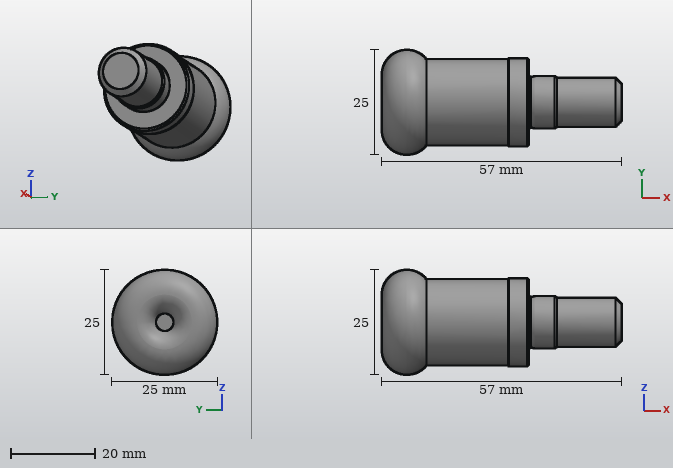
import cadquery as cq
import math


ring_section_radius = 6.0
ring_outer_diameter = 25.0
throat_radial_semi_axis = 4.7

body_start = 4.0
body_diameter = 20.6
flange_start = 30.0
flange_diameter = 21.0
flange_thickness = 5.0
flange_chamfer = 0.5
seat_diameter = 12.5
seat_length = 6.0
shank_diameter = 11.75
overall_length = 57.0
shank_end_chamfer = 1.5
lead_in_angle = 30.0
undercut_depth = 0.25
undercut_corner_radius = 0.4
undercut_exit_angle = 15.0

body_radius = body_diameter / 2
flange_end = flange_start + flange_thickness
seat_end = flange_end + seat_length


def revolve_about_x(profile):
    """Turn a closed XY half profile once around the X axis."""
    return profile.close().revolve(360, (0, 0, 0), (1, 0, 0))


def make_ring():
    """Grip ring that caps the front of the pin body and leaves its end face bare in the throat."""
    centre_x = ring_section_radius
    centre_radius = ring_outer_diameter / 2 - ring_section_radius

    throat_angle = math.acos((body_start - centre_x) / ring_section_radius)
    throat_end_radius = centre_radius - throat_radial_semi_axis * math.sin(throat_angle)

    rise_to_body = body_radius - centre_radius
    ring_end = centre_x + math.sqrt(ring_section_radius**2 - rise_to_body**2)

    profile = (
        cq.Workplane("XY")
        .moveTo(body_start, throat_end_radius)
        .ellipseArc(
            ring_section_radius,
            throat_radial_semi_axis,
            180,
            360 - math.degrees(throat_angle),
            sense=-1,
        )
        .radiusArc((centre_x, ring_outer_diameter / 2), ring_section_radius)
        .radiusArc((ring_end, body_radius), ring_section_radius)
        .lineTo(body_start, body_radius)
    )
    return revolve_about_x(profile)


def make_pin():
    """Body, flange, undercut, seat and chamfered shank in one turned piece."""
    flange_radius = flange_diameter / 2
    flange_step = flange_radius - body_radius
    seat_radius = seat_diameter / 2
    shank_radius = shank_diameter / 2

    undercut_radius = seat_radius - undercut_depth
    undercut_bottom = flange_end + undercut_corner_radius
    corner_top = undercut_radius + undercut_corner_radius
    undercut_end = undercut_bottom + undercut_depth / math.tan(math.radians(undercut_exit_angle))

    lead_in_length = (seat_radius - shank_radius) / math.tan(math.radians(lead_in_angle))

    profile = (
        cq.Workplane("XY")
        .moveTo(body_start, 0)
        .lineTo(body_start, body_radius)
        .lineTo(flange_start, body_radius)
        .lineTo(flange_start + flange_step, flange_radius)
        .lineTo(flange_end - flange_chamfer, flange_radius)
        .lineTo(flange_end, flange_radius - flange_chamfer)
        .lineTo(flange_end, corner_top)
        .radiusArc((undercut_bottom, undercut_radius), -undercut_corner_radius)
        .lineTo(undercut_end, seat_radius)
        .lineTo(seat_end, seat_radius)
        .lineTo(seat_end + lead_in_length, shank_radius)
        .lineTo(overall_length - shank_end_chamfer, shank_radius)
        .lineTo(overall_length, shank_radius - shank_end_chamfer)
        .lineTo(overall_length, 0)
    )
    return revolve_about_x(profile)


ring = make_ring()
pin = make_pin()

result = cq.Compound.makeCompound([ring.val(), pin.val()])